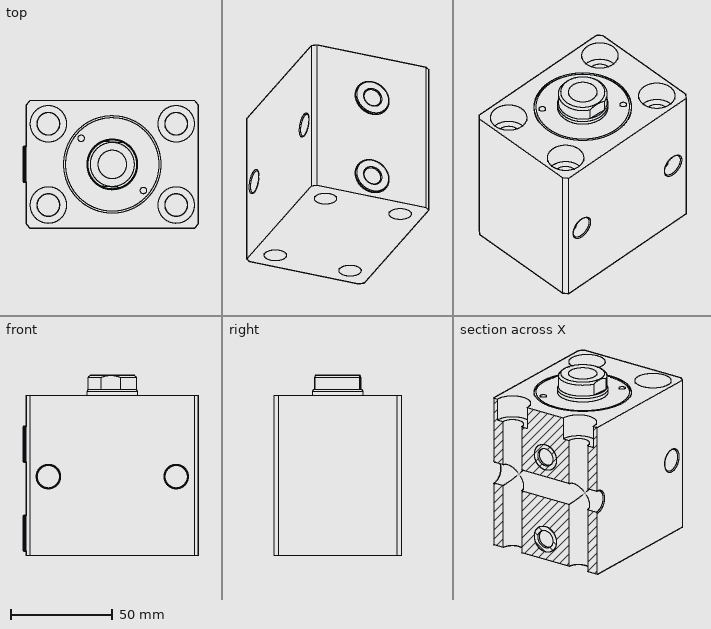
import cadquery as cq
import math


block_x = 85.0
block_y = 63.0
block_z = 79.0
corner_x = 1.9
corner_y = 2.3

bolt_spacing_x = 63.0
bolt_spacing_y = 40.05
bolt_hole_d = 11.0
counterbore_d = 18.0
counterbore_depth = 11.2
cross_hole_d = 11.0
cross_hole_z = 39.0
cross_hole_chamfer = 0.5

gland_d = 48.1
gland_depth = 24.0
gland_chamfer = 1.0
pin_hole_d = 3.2
pin_hole_depth = 4.0
pin_circle_r = 20.0
pin_hole_angle = -40.0

rod_d = 25.0
rod_head_d = 24.0
rod_tip_chamfer = 1.2
rod_projection = 10.0
collar_height = 1.8
shoulder_height = 1.2
rod_flats = 22.1
rod_hole_d = 14.1
rod_hole_depth = 19.6
drill_point_angle = 118.0
rod_turn = -4.0

sleeve_head_d = 18.0
sleeve_head_height = 1.5
sleeve_shank_d = 13.2
sleeve_shank_depth = 12.0
sleeve_hole_d = 8.9
sleeve_chamfer = 0.45
port_heights = (11.0, 55.0)

bore_floor_z = block_z - gland_depth
rod_end_z = block_z + rod_projection
port_face_x = -block_x / 2


def cylinder_up(diameter, z_low, z_high, x=0, y=0):
    """Cylinder along Z between two heights."""
    return cq.Workplane("XY", origin=(x, y, z_low)).circle(diameter / 2).extrude(z_high - z_low)


def cylinder_inward(diameter, x_start, x_end, z):
    """Cylinder along X between two X positions, on the Y = 0 plane."""
    return cq.Workplane("YZ", origin=(x_start, 0, z)).circle(diameter / 2).extrude(x_end - x_start)


def block_outline():
    half_x = block_x / 2
    half_y = block_y / 2
    corner = [(half_x, half_y - corner_y), (half_x - corner_x, half_y)]
    points = corner + [(-x, y) for x, y in reversed(corner)]
    points += [(-x, -y) for x, y in points]
    return cq.Workplane("XY").polyline(points).close()


def cross_hole(x):
    """Hole through the block along Y with a chamfered mouth at each end."""
    r = cross_hole_d / 2
    mouth_r = r + cross_hole_chamfer
    half_y = block_y / 2
    profile = [
        (0, -half_y),
        (mouth_r, -half_y),
        (r, -half_y + cross_hole_chamfer),
        (r, half_y - cross_hole_chamfer),
        (mouth_r, half_y),
        (0, half_y),
    ]
    cutter = cq.Workplane("XY").polyline(profile).close().revolve(360, (0, 0, 0), (0, 1, 0))
    return cutter.translate((x, 0, cross_hole_z))


def make_housing():
    housing = block_outline().extrude(block_z)
    housing = housing.cut(cylinder_up(gland_d, bore_floor_z, block_z))
    for x in (-bolt_spacing_x / 2, bolt_spacing_x / 2):
        for y in (-bolt_spacing_y / 2, bolt_spacing_y / 2):
            housing = housing.cut(cylinder_up(bolt_hole_d, 0, block_z, x, y))
            housing = housing.cut(cylinder_up(counterbore_d, block_z - counterbore_depth, block_z, x, y))
        housing = housing.cut(cross_hole(x))
    for z in port_heights:
        seat = cylinder_inward(sleeve_shank_d, port_face_x, port_face_x + sleeve_shank_depth, z)
        housing = housing.cut(seat)
    return housing


def make_gland():
    gland = cylinder_up(gland_d, bore_floor_z, block_z).faces(">Z").chamfer(gland_chamfer)
    gland = gland.cut(cylinder_up(rod_d, bore_floor_z, block_z))
    for angle in (pin_hole_angle, pin_hole_angle + 180):
        x = pin_circle_r * math.cos(math.radians(angle))
        y = pin_circle_r * math.sin(math.radians(angle))
        gland = gland.cut(cylinder_up(pin_hole_d, block_z - pin_hole_depth, block_z, x, y))
    return gland


def make_rod():
    """Turned rod with a shouldered head, two wrench flats and a drilled hole in its end."""
    collar_top = block_z + collar_height
    head_base = collar_top + shoulder_height
    rod_r = rod_d / 2
    head_r = rod_head_d / 2
    hole_r = rod_hole_d / 2
    hole_floor = rod_end_z - rod_hole_depth
    hole_tip = hole_floor - hole_r / math.tan(math.radians(drill_point_angle / 2))
    half_section = [
        (0, bore_floor_z),
        (rod_r, bore_floor_z),
        (rod_r, collar_top),
        (head_r, head_base),
        (head_r, rod_end_z - rod_tip_chamfer),
        (head_r - rod_tip_chamfer, rod_end_z),
        (hole_r, rod_end_z),
        (hole_r, hole_floor),
        (0, hole_tip),
    ]
    rod = cq.Workplane("XZ").polyline(half_section).close().revolve(360, (0, 0, 0), (0, 1, 0))
    flat_cut_y = (rod_d - rod_flats) / 2
    for side in (-1, 1):
        cutter = cq.Workplane("XY").box(rod_d, flat_cut_y, rod_end_z - head_base, centered=(True, True, False))
        rod = rod.cut(cutter.translate((0, side * (rod_flats + flat_cut_y) / 2, head_base)))
    return rod.rotate((0, 0, 0), (0, 0, 1), rod_turn)


def make_port_sleeve(z):
    """Sleeve with both head rims chamfered, and a through hole with a chamfered mouth in the head."""
    outer_x = port_face_x - sleeve_head_height
    inner_x = port_face_x + sleeve_shank_depth
    sleeve = cylinder_inward(sleeve_head_d, outer_x, port_face_x, z).edges().chamfer(sleeve_chamfer)
    sleeve = sleeve.union(cylinder_inward(sleeve_shank_d, port_face_x, inner_x, z))
    sleeve = sleeve.cut(cylinder_inward(sleeve_hole_d, outer_x, inner_x, z))
    mouth_edge = cq.selectors.RadiusNthSelector(0)
    return sleeve.faces("<X").edges(mouth_edge).chamfer(sleeve_chamfer)


housing = make_housing()
gland = make_gland()
rod = make_rod()
port_sleeves = [make_port_sleeve(z) for z in port_heights]

result = cq.Compound.makeCompound(
    [housing.val(), gland.val(), rod.val(), *[sleeve.val() for sleeve in port_sleeves]]
)